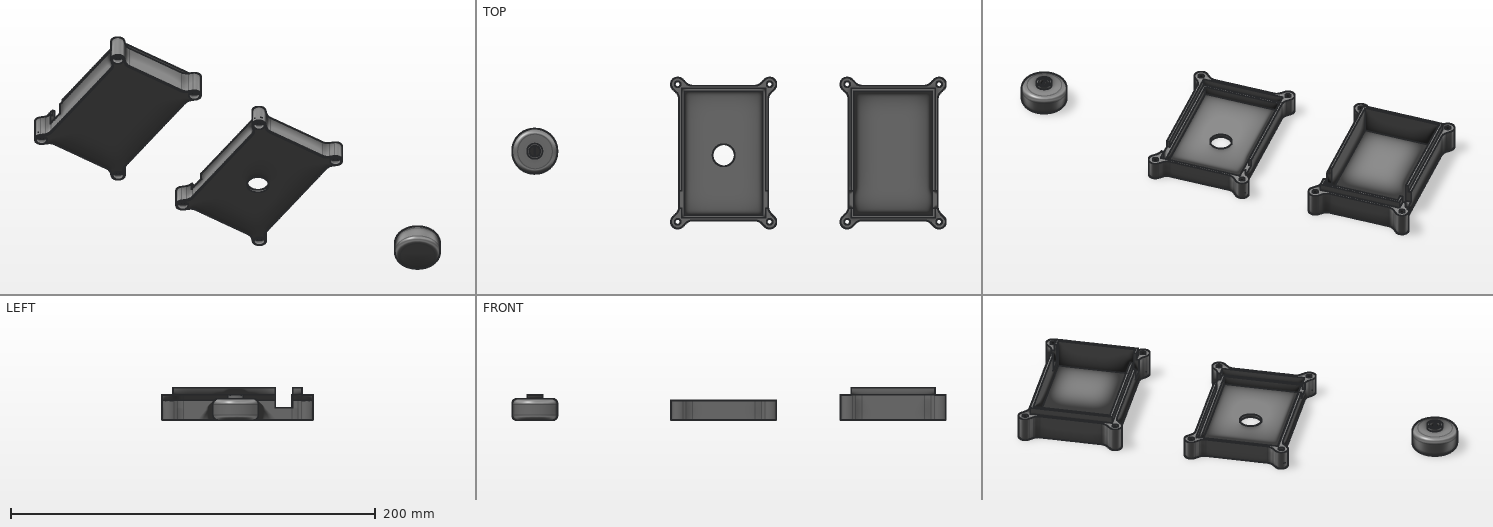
import cadquery as cq
import math

CAVITY_X = 43.0
CAVITY_Y = 68.0
WALL = 3.0
RIM = WALL / 2
OUTER_X = CAVITY_X + 2 * WALL
OUTER_Y = CAVITY_Y + 2 * WALL
LIP_X = OUTER_X - 2 * RIM
LIP_Y = OUTER_Y - 2 * RIM
FLOOR = 2.0
BOTTOM_CHAMFER = 0.5

BASE_HEIGHT = 14.0
LIP_HEIGHT = 4.0
BASE_TOP = BASE_HEIGHT + LIP_HEIGHT
LID_HEIGHT = 11.0
LID_LEDGE = LID_HEIGHT - LIP_HEIGHT

EAR_RADIUS = 3.75
EAR_OFFSET = 0.72
EAR_BLEND = 5.0
SCREW_DIAMETER = 3.1
COUNTERBORE_DIAMETER = 6.0
COUNTERBORE_DEPTH = 3.5
EAR_X = OUTER_X / 2 + EAR_OFFSET
EAR_Y = OUTER_Y / 2 + EAR_OFFSET

NOTCH_LENGTH = 9.5
NOTCH_Y = -25.5
NOTCH_FLOOR = LID_LEDGE

SHAFT_HOLE_DIAMETER = 12.0
SHAFT_HOLE_Y = -1.2

KNOB_DIAMETER = 25.0
KNOB_HEIGHT = 12.0
KNOB_FILLET = 3.0
HUB_DIAMETER = 8.5
HUB_TOP = 14.0
BORE_DIAMETER = 6.0
BORE_DEPTH = 10.0
KEY_THICKNESS = 0.6

CASE_Y = -1.0
LID_X = 103.6
BASE_X = 196.57

CORNERS = [(side_x, side_y) for side_x in (-1, 1) for side_y in (-1, 1)]
EAR_CENTERS = [(side_x * EAR_X, side_y * EAR_Y) for side_x, side_y in CORNERS]


def block(length_x, length_y, bottom, top):
    """Rectangular block centred on the Z axis between two heights."""
    return cq.Workplane("XY", origin=(0, 0, bottom)).rect(length_x, length_y).extrude(top - bottom)


def cylinder(diameter, bottom, top, centers=((0, 0),)):
    """Upright cylinders between two heights, one at each centre."""
    sketch = cq.Workplane("XY", origin=(0, 0, bottom)).pushPoints(centers)
    return sketch.circle(diameter / 2).extrude(top - bottom)


def ear(side_x, side_y, height):
    """Round ear at one corner, with a diagonal web of the same width running into the case."""
    width = 2 * EAR_RADIUS
    web_length = width
    inward = math.degrees(math.atan2(-side_y, -side_x))
    web = block(web_length, width, 0, height).translate((web_length / 2, 0, 0))
    lug = cylinder(width, 0, height).union(web)
    return lug.rotate((0, 0, 0), (0, 0, 1), inward).translate((side_x * EAR_X, side_y * EAR_Y, 0))


def case_body(height):
    """Solid case block with four blended ears and a chamfered underside."""
    body = block(OUTER_X, OUTER_Y, 0, height)
    for side_x, side_y in CORNERS:
        body = body.union(ear(side_x, side_y, height))

    reach = EAR_RADIUS * math.sqrt(2)
    for side_x, side_y in CORNERS:
        for back_x, back_y in ((reach, 0), (0, reach)):
            x = side_x * (OUTER_X / 2 - back_x)
            y = side_y * (OUTER_Y / 2 - back_y)
            meeting_edge = cq.NearestToPointSelector((x, y, height / 2))
            body = body.edges("|Z").edges(meeting_edge).fillet(EAR_BLEND)
    return body.faces("<Z").chamfer(BOTTOM_CHAMFER)


def cut_shared_features(body, top):
    """Cavity, wall notch and counterbored screw holes of a case half."""
    cavity = block(CAVITY_X, CAVITY_Y, FLOOR, top)
    notch = block(OUTER_X, NOTCH_LENGTH, NOTCH_FLOOR, top).translate((0, NOTCH_Y, 0))
    screw_holes = cylinder(SCREW_DIAMETER, 0, top, EAR_CENTERS)
    counterbores = cylinder(COUNTERBORE_DIAMETER, 0, COUNTERBORE_DEPTH, EAR_CENTERS)
    return body.cut(cavity).cut(notch).cut(screw_holes).cut(counterbores)


def make_base():
    """Deep case half with a raised lip."""
    lip = block(LIP_X, LIP_Y, FLOOR, BASE_TOP)
    return cut_shared_features(case_body(BASE_HEIGHT).union(lip), BASE_TOP)


def make_lid():
    """Shallow case half with a recess for the lip and a shaft hole."""
    lip_recess = block(LIP_X, LIP_Y, LID_LEDGE, LID_HEIGHT)
    shaft_hole = cylinder(SHAFT_HOLE_DIAMETER, 0, FLOOR, [(0, SHAFT_HOLE_Y)])
    return cut_shared_features(case_body(LID_HEIGHT), LID_HEIGHT).cut(lip_recess).cut(shaft_hole)


def make_knob():
    """Rounded knob with a hub and a keyed blind bore."""
    hub = cylinder(HUB_DIAMETER, KNOB_HEIGHT, HUB_TOP)
    bore_floor = HUB_TOP - BORE_DEPTH
    key = block(KEY_THICKNESS, BORE_DIAMETER, bore_floor, HUB_TOP)
    bore = cylinder(BORE_DIAMETER, bore_floor, HUB_TOP).cut(key)
    return cylinder(KNOB_DIAMETER, 0, KNOB_HEIGHT).edges().fillet(KNOB_FILLET).union(hub).cut(bore)


knob = make_knob()
lid = make_lid().translate((LID_X, CASE_Y, 0))
base = make_base().translate((BASE_X, CASE_Y, 0))

result = cq.Compound.makeCompound([body.solids().val() for body in (knob, lid, base)])